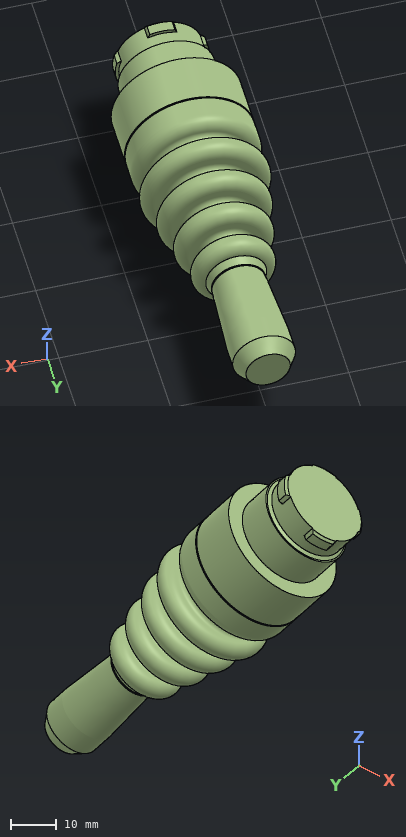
import cadquery as cq
import math

total_length = 94.0

plug_radius = 19.6 / 2
neck_radius = 22.0 / 2
body_radius = 29.5 / 2
neck_end_y = 6.7
neck_shoulder_radius = 10.6
neck_cone_length = 0.6
body_end_y = 15.1

seam_width = 0.3
seam_depth = 0.1
body_seam_y = 26.7

bead_count = 4
bead_pitch = 8.0
bead_fillet = 2.68
groove_fillet = (bead_pitch - 2 * bead_fillet) / 2
skirt_top_y = 34.6
first_bead_radius = 9.54
bead_radius_step = (body_radius - first_bead_radius) / (bead_count - 1)

boot_top_y = 68.4
grip_base_radius = 6.1
grip_radius = 14.2 / 2
taper_end_y = 84.9
tip_length = 3.5
tip_radius = 5.0

tab_count = 4
tab_radius = 10.6
tab_top_y = 3.0
tab_chamfer = 0.6
tab_root_width = 6.6
tab_crest_width = 5.6


def add_seam(outline, radius, start_y):
    """Cut a shallow rectangular groove into the outline, starting at start_y."""
    end_y = start_y + seam_width
    return (
        outline.lineTo(radius, start_y)
        .lineTo(radius - seam_depth, start_y)
        .lineTo(radius - seam_depth, end_y)
        .lineTo(radius, end_y)
    )


def bead_top(index):
    """Y of the flat top of bead number index, where 0 is nearest the grip."""
    return skirt_top_y + (bead_count - index) * bead_pitch


def bead_outer_radius(index):
    return first_bead_radius + index * bead_radius_step


def add_bead(outline, index):
    """Add the groove below bead number index and the bead itself.

    The outline arrives at the bottom of the groove and leaves at the inner
    edge of the bead top.
    """
    bead_radius = bead_outer_radius(index)
    center_radius = bead_radius - bead_fillet
    bead_top_y = bead_top(index)
    bead_bottom_y = bead_top_y - 2 * bead_fillet
    return (
        outline.threePointArc(
            (center_radius - groove_fillet, bead_bottom_y - groove_fillet),
            (center_radius, bead_bottom_y),
        )
        .threePointArc(
            (bead_radius, bead_bottom_y + bead_fillet),
            (center_radius, bead_top_y),
        )
    )


def make_handle():
    outline = (
        cq.Workplane("XY")
        .moveTo(0, 0)
        .lineTo(plug_radius, 0)
        .lineTo(plug_radius, neck_end_y - neck_cone_length)
        .lineTo(neck_shoulder_radius, neck_end_y)
        .lineTo(neck_radius, neck_end_y)
        .lineTo(neck_radius, body_end_y)
        .lineTo(body_radius, body_end_y)
    )
    outline = add_seam(outline, body_radius, body_seam_y)

    shoulder_center_radius = body_radius - bead_fillet
    shoulder_center_y = skirt_top_y - bead_fillet
    diagonal = bead_fillet * math.sqrt(0.5)
    outline = outline.lineTo(body_radius, shoulder_center_y).threePointArc(
        (shoulder_center_radius + diagonal, shoulder_center_y + diagonal),
        (shoulder_center_radius, skirt_top_y),
    )

    for index in reversed(range(bead_count)):
        outline = add_bead(outline, index)
        if index > 0:
            groove_edge_radius = bead_outer_radius(index - 1) - bead_fillet
            outline = outline.lineTo(groove_edge_radius, bead_top(index))

    outline = add_seam(outline, grip_base_radius, boot_top_y)
    return (
        outline.lineTo(grip_radius, taper_end_y)
        .lineTo(grip_radius, total_length - tip_length)
        .lineTo(tip_radius, total_length)
        .lineTo(0, total_length)
        .close()
        .revolve(360, (0, 0, 0), (0, 1, 0))
    )


def make_tab():
    """One locking tab on the +Z side, with sloped flanks and a chamfered end."""
    ring = (
        cq.Workplane("XY")
        .moveTo(0, 0)
        .lineTo(tab_radius - tab_chamfer, 0)
        .lineTo(tab_radius, tab_chamfer)
        .lineTo(tab_radius, tab_top_y)
        .lineTo(0, tab_top_y)
        .close()
        .revolve(360, (0, 0, 0), (0, 1, 0))
    )
    root_half = tab_root_width / 2
    crest_half = tab_crest_width / 2
    root_z = math.sqrt(plug_radius**2 - root_half**2)
    crest_z = math.sqrt(tab_radius**2 - crest_half**2)

    overrun = tab_radius - crest_z
    flank_slope = (root_half - crest_half) / (crest_z - root_z)
    top_half = crest_half - overrun * flank_slope
    wedge = (
        cq.Workplane("XZ")
        .polyline([
            (-root_half, 0),
            (root_half, 0),
            (root_half, root_z),
            (top_half, tab_radius),
            (-top_half, tab_radius),
            (-root_half, root_z),
        ])
        .close()
        .extrude(-tab_top_y)
    )
    return ring.intersect(wedge)


result = make_handle()
tab = make_tab()
for tab_index in range(tab_count):
    result = result.union(tab.rotate((0, 0, 0), (0, 1, 0), tab_index * 360 / tab_count))